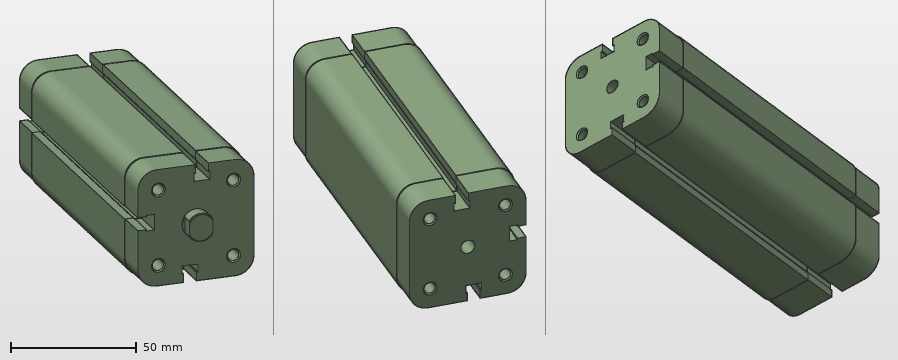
import cadquery as cq

TOTAL_LENGTH = 140.5
ROD_PROTRUSION = 6.0
CAP_LENGTH = 14.5
FRONT_FACE_X = TOTAL_LENGTH - ROD_PROTRUSION
FRONT_CAP_X = FRONT_FACE_X - CAP_LENGTH
TUBE_LENGTH = FRONT_CAP_X - CAP_LENGTH

TUBE_WIDTH = 50.0
CAP_INSET = 0.3
CAP_WIDTH = TUBE_WIDTH - 2 * CAP_INSET
CORNER_RADIUS = 8.0

SLOT_ANGLES = (0, 90, 180)
SLOT_OFFSET = 2.5
NECK_WIDTH = 5.5
NECK_DEPTH = 4.0
TUBE_POCKET_WIDTH = 6.2
CAP_POCKET_WIDTH = TUBE_POCKET_WIDTH + 2 * CAP_INSET
TUBE_SLOT_DEPTH = 7.0
CAP_SLOT_DEPTH = TUBE_SLOT_DEPTH + CAP_INSET

BOLT_PITCH = 32.0
BOLT_HOLE_DIAMETER = 4.8
BOLT_HOLE_CHAMFER = 0.5

CENTRE_HOLE_DIAMETER = 5.9

ROD_DIAMETER = 12.0
ROD_CHAMFER = 0.4
FLATS_WIDTH = 10.0
FLATS_LENGTH = 5.5


def cross_section(x):
    """Sketch plane across the axis: local x is +Y and local y is +Z."""
    return cq.Workplane("YZ", origin=(x, 0, 0))


def slot_cutter(x, length, pocket_width, slot_depth):
    """Cutter for the sensor slots over one stretch of the length."""
    face = TUBE_WIDTH / 2
    ledge = face - NECK_DEPTH
    floor = face - slot_depth
    neck_height = face - floor
    pocket_height = ledge - floor
    top_slot = (
        cross_section(x)
        .center(SLOT_OFFSET, floor + neck_height / 2)
        .rect(NECK_WIDTH, neck_height)
        .extrude(length)
        .union(
            cross_section(x)
            .center(SLOT_OFFSET, floor + pocket_height / 2)
            .rect(pocket_width, pocket_height)
            .extrude(length)
        )
    )
    cutter = cq.Workplane()
    for angle in SLOT_ANGLES:
        cutter = cutter.add(top_slot.rotate((0, 0, 0), (1, 0, 0), angle))
    return cutter.combine()


def make_section(x, length, width, pocket_width, slot_depth):
    """One stretch of the body: rounded square with bolt holes and slots."""
    block = cross_section(x).rect(width, width).extrude(length).edges("|X").fillet(CORNER_RADIUS)
    bolt_holes = (
        cross_section(x)
        .rect(BOLT_PITCH, BOLT_PITCH, forConstruction=True)
        .vertices()
        .circle(BOLT_HOLE_DIAMETER / 2)
        .extrude(length)
    )
    return block.cut(bolt_holes).cut(slot_cutter(x, length, pocket_width, slot_depth))


def make_cap(x, outer_face):
    """End cap with the bolt holes chamfered on its outer face."""
    cap = make_section(x, CAP_LENGTH, CAP_WIDTH, CAP_POCKET_WIDTH, CAP_SLOT_DEPTH)
    bolt_hole_rims = cap.faces(outer_face).edges(cq.selectors.RadiusNthSelector(0))
    return bolt_hole_rims.chamfer(BOLT_HOLE_CHAMFER)


def make_tube():
    return make_section(CAP_LENGTH, TUBE_LENGTH, TUBE_WIDTH, TUBE_POCKET_WIDTH, TUBE_SLOT_DEPTH)


def make_rear_cap():
    centre_hole = cross_section(0).circle(CENTRE_HOLE_DIAMETER / 2).extrude(CAP_LENGTH)
    return make_cap(0, "<X").cut(centre_hole)


def make_front_cap():
    rod_hole = cross_section(FRONT_CAP_X).circle(ROD_DIAMETER / 2).extrude(CAP_LENGTH)
    return make_cap(FRONT_CAP_X, ">X").cut(rod_hole)


def make_rod():
    """Rod from the tube end through the front cap, with flats facing -Y and +Y."""
    rod = (
        cross_section(FRONT_CAP_X)
        .circle(ROD_DIAMETER / 2)
        .extrude(TOTAL_LENGTH - FRONT_CAP_X)
        .faces(">X")
        .chamfer(ROD_CHAMFER)
    )
    flats_x = TOTAL_LENGTH - FLATS_LENGTH
    flats_waste = (
        cross_section(flats_x)
        .rect(2 * ROD_DIAMETER, ROD_DIAMETER)
        .rect(FLATS_WIDTH, ROD_DIAMETER)
        .extrude(FLATS_LENGTH)
    )
    return rod.cut(flats_waste)


rear_cap = make_rear_cap()
tube = make_tube()
front_cap = make_front_cap()
rod = make_rod()

bodies = [rear_cap, tube, front_cap, rod]
result = cq.Compound.makeCompound([body.solids().val() for body in bodies])